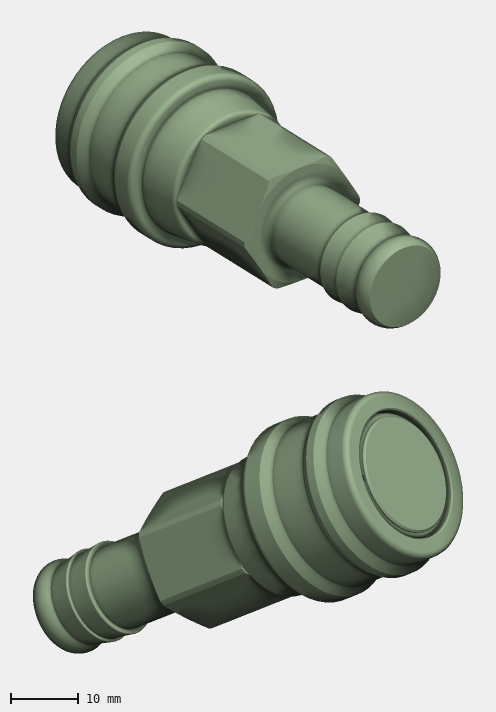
import cadquery as cq
import math


total_length = 69.5

sleeve_length = 20.45
sleeve_diameter = 26.0
sleeve_rib_diameter = 28.0
sleeve_edge_radius = 0.9
rib_ramp_length = 1.7
front_rib_start = 4.0
front_rib_crest_length = 1.45
rear_rib_start = 14.95
sleeve_bore_diameter = 19.1
recess_diameter = 20.0
recess_depth = 2.1
recess_chamfer = 0.2

plug_diameter = 18.0
plug_chamfer = 0.3
wire_diameter = 1.5
wire_ring_diameter = plug_diameter
wire_gap = 1.0
wire_gap_angle = -22.0

cone_start = 20.8
cone_end = 27.25
cone_start_diameter = 23.8
cone_end_diameter = 21.75
cone_edge_radius = 0.7

hex_sides = 6
hex_end = 44.4
hex_across_flats = 19.0
hex_corner_diameter = 21.4
hex_chamfer_length = 0.3
hex_turn = 2.2

tail_diameter = 13.1
tail_fillet = 1.05
barb_diameter = 14.5
barb_edge_radius = 0.2
first_barb_start = 58.05
first_barb_root_diameter = 13.7
first_barb_end = 61.65
second_barb_start = 61.9
bead_start = 65.9


def sleeve_outline():
    """Half section of the sleeve: two outer ribs and a stepped bore."""
    outer = sleeve_diameter / 2
    crest = sleeve_rib_diameter / 2
    bore = sleeve_bore_diameter / 2
    recess = recess_diameter / 2
    front_crest_start = front_rib_start + rib_ramp_length
    front_crest_end = front_crest_start + front_rib_crest_length
    return (
        cq.Workplane("XY")
        .moveTo(0, recess + recess_chamfer)
        .lineTo(0, outer - sleeve_edge_radius)
        .radiusArc((sleeve_edge_radius, outer), sleeve_edge_radius)
        .lineTo(front_rib_start, outer)
        .lineTo(front_crest_start, crest)
        .lineTo(front_crest_end, crest)
        .lineTo(front_crest_end + rib_ramp_length, outer)
        .lineTo(rear_rib_start, outer)
        .lineTo(rear_rib_start + rib_ramp_length, crest)
        .lineTo(sleeve_length - sleeve_edge_radius, crest)
        .radiusArc((sleeve_length, crest - sleeve_edge_radius), sleeve_edge_radius)
        .lineTo(sleeve_length, bore)
        .lineTo(recess_depth, bore)
        .lineTo(recess_depth, recess)
        .lineTo(recess_chamfer, recess)
        .close()
    )


def revolve_about_x(outline):
    return outline.revolve(360, (0, 0, 0), (1, 0, 0))


def make_sleeve():
    return revolve_about_x(sleeve_outline())


def make_core():
    """Plug inside the sleeve and the cone behind it."""
    plug = plug_diameter / 2
    bore = sleeve_bore_diameter / 2
    outline = (
        cq.Workplane("XY")
        .moveTo(0, 0)
        .lineTo(0, plug - plug_chamfer)
        .lineTo(plug_chamfer, plug)
        .lineTo(recess_depth, plug)
        .lineTo(recess_depth, bore)
        .lineTo(sleeve_length, bore)
        .lineTo(sleeve_length, cone_start_diameter / 2)
        .lineTo(cone_start, cone_start_diameter / 2)
        .lineTo(cone_end, cone_end_diameter / 2)
        .lineTo(cone_end, 0)
        .close()
    )
    return revolve_about_x(outline).faces(">X").edges().fillet(cone_edge_radius)


def make_wire_ring():
    """Split wire ring half sunk in the plug, resting on the shoulder behind it."""
    wire_radius = wire_diameter / 2
    ring_radius = wire_ring_diameter / 2
    cutter_side = 2 * wire_diameter
    wire_x = recess_depth - wire_radius
    ring = revolve_about_x(cq.Workplane("XY").moveTo(wire_x, ring_radius).circle(wire_radius))
    gap = (
        cq.Workplane("XY")
        .box(cutter_side, cutter_side, wire_gap)
        .translate((wire_x, ring_radius, 0))
        .rotate((0, 0, 0), (1, 0, 0), wire_gap_angle)
    )
    return ring.cut(gap)


def make_hexagon():
    """Hexagon with its corners turned down and both ends chamfered."""
    length = hex_end - cone_end
    corner = hex_corner_diameter / 2
    flat = hex_across_flats / 2
    prism = (
        cq.Workplane("YZ", origin=(cone_end, 0, 0))
        .polygon(hex_sides, hex_across_flats / math.cos(math.pi / hex_sides))
        .extrude(length)
        .rotate((0, 0, 0), (1, 0, 0), hex_turn)
    )
    envelope = revolve_about_x(
        cq.Workplane("XY")
        .moveTo(cone_end, 0)
        .lineTo(cone_end, flat)
        .lineTo(cone_end + hex_chamfer_length, corner)
        .lineTo(hex_end - hex_chamfer_length, corner)
        .lineTo(hex_end, flat)
        .lineTo(hex_end, 0)
        .close()
    )
    return prism.intersect(envelope)


def make_tail():
    """Hose tail with two barbs and a rounded bead at its end."""
    tail = tail_diameter / 2
    crest = barb_diameter / 2
    bead_middle = (bead_start + total_length) / 2
    outline = (
        cq.Workplane("XY")
        .moveTo(hex_end, 0)
        .lineTo(hex_end, tail + tail_fillet)
        .radiusArc((hex_end + tail_fillet, tail), -tail_fillet)
        .lineTo(first_barb_start, tail)
        .lineTo(first_barb_start, crest - barb_edge_radius)
        .radiusArc((first_barb_start + barb_edge_radius, crest), barb_edge_radius)
        .lineTo(first_barb_end, first_barb_root_diameter / 2)
        .lineTo(second_barb_start, first_barb_root_diameter / 2)
        .lineTo(second_barb_start, crest - barb_edge_radius)
        .radiusArc((second_barb_start + barb_edge_radius, crest), barb_edge_radius)
        .lineTo(bead_start, tail)
        .threePointArc((bead_middle, crest), (total_length, tail))
        .lineTo(total_length, 0)
        .close()
    )
    return revolve_about_x(outline)


def make_body():
    """Core, wire ring, hexagon and hose tail joined into one solid."""
    return make_core().union(make_wire_ring()).union(make_hexagon()).union(make_tail())


sleeve = make_sleeve()
body = make_body()

result = cq.Compound.makeCompound([sleeve.val(), body.val()])